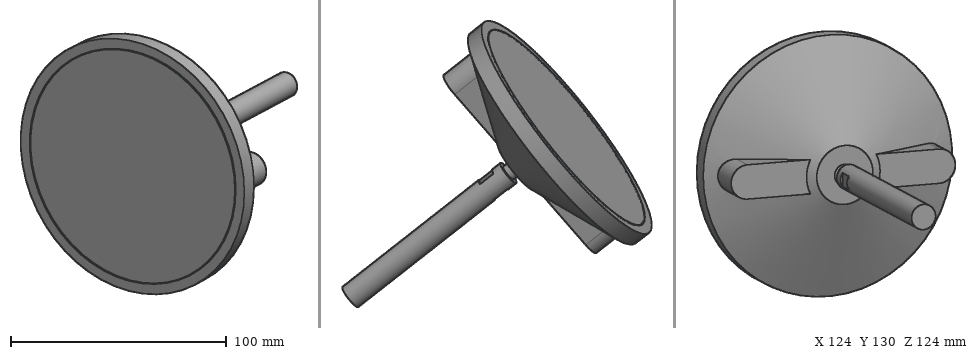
import cadquery as cq

total_length = 130
base_diameter = 124.0
rim_top_diameter = 123.9
rim_height = 8.3
cone_top_diameter = 28.0
cone_top = 30.0

groove_inner_diameter = 113.5
groove_outer_diameter = 114.0
groove_depth = 0.5

lug_length = 111.5
lug_width = 16.2
lug_top = 28.1

spindle_diameter = 12.0
spindle_start = 35.0
neck_diameter = 7.8
neck_foot_diameter = 10.1
neck_foot_height = 1.3
flat_start = 39.9
flat_length = 8.0
across_flats = 10.0


def make_base():
    """Slightly tapered rim with a conical top, revolved about the Y axis."""
    return (
        cq.Workplane("XY")
        .polyline([
            (0, 0),
            (base_diameter / 2, 0),
            (rim_top_diameter / 2, rim_height),
            (cone_top_diameter / 2, cone_top),
            (0, cone_top),
        ])
        .close()
        .revolve(360, (0, 0, 0), (0, 1, 0))
    )


def make_lug():
    """Round-ended bar along X, rising from the rim level through the cone."""
    return (
        cq.Workplane("XZ", origin=(0, rim_height, 0))
        .slot2D(lug_length, lug_width)
        .extrude(rim_height - lug_top)
    )


def make_spindle():
    """Round rod on a narrow neck with a flared foot."""
    neck_foot_top = cone_top + neck_foot_height
    return (
        cq.Workplane("XY")
        .polyline([
            (0, cone_top),
            (neck_foot_diameter / 2, cone_top),
            (neck_diameter / 2, neck_foot_top),
            (neck_diameter / 2, spindle_start),
            (spindle_diameter / 2, spindle_start),
            (spindle_diameter / 2, total_length),
            (0, total_length),
        ])
        .close()
        .revolve(360, (0, 0, 0), (0, 1, 0))
    )


def make_wrench_flat(side):
    """Block that cuts one flat; side is -1 or 1 along X."""
    cut_width = spindle_diameter / 2
    return cq.Workplane("XY").box(cut_width, flat_length, spindle_diameter).translate(
        (side * (across_flats + cut_width) / 2, flat_start + flat_length / 2, 0)
    )


def make_groove():
    """Thin ring cut into the underside."""
    return (
        cq.Workplane("XZ")
        .circle(groove_outer_diameter / 2)
        .circle(groove_inner_diameter / 2)
        .extrude(-groove_depth)
    )


result = make_base().union(make_lug()).union(make_spindle()).cut(make_groove())
for side in (-1, 1):
    result = result.cut(make_wrench_flat(side))